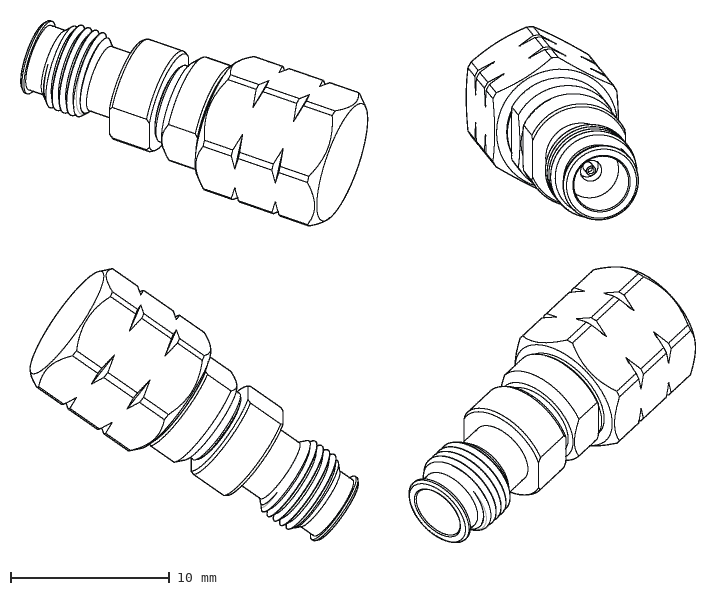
import cadquery as cq
import math

total_length = 21.2

barrel_radius = 2.15
flange_radius = 2.42
flange_length = 0.3
flange_chamfer = 0.16
bore_radius = 1.77
bore_depth = 3.0
bore_chamfer = 0.08
air_gap_radius = 0.68
air_gap_depth = 1.0
pin_radius = 0.3
pin_hole_radius = 0.19
pin_hole_depth = 0.5

thread_start = 1.37
thread_end = 4.5
thread_pitch = 0.5
thread_crest_radius = 2.8
thread_root_radius = 2.38
thread_root_start = 1.29
groove_width_ratio = 0.96
groove_overshoot = 0.008

flat_distance = 3.0
collar_start = 6.46
collar_end = 9.23
collar_radius = 3.35
collar_chamfer_length = 0.2
collar_chamfer_depth = 0.13
ring_start = 9.33
ring_radius = 2.55
ring_chamfer = 0.15
wrench_start = 10.03
wrench_end = 12.54
wrench_radius = 3.46
wrench_front_chamfer = 0.52
wrench_rear_chamfer = 0.14
neck_radius = 3.25

nut_start = 12.79
nut_sides = 6
nut_apothem = 4.0
nut_corner_radius = 4.5
nut_chamfer = 0.6
notch_positions = (15.58, 18.38)
notch_floor = 3.92
notch_half_width = 0.24
nut_hexagon_radius = nut_apothem / math.cos(math.pi / nut_sides)


def cylinder(start, end, radius):
    return cq.Workplane("YZ", origin=(start, 0, 0)).circle(radius).extrude(end - start)


def turned(points):
    """Solid of revolution about X from (x, radius) points, closed along the axis."""
    outline = [(points[0][0], 0)] + points + [(points[-1][0], 0)]
    return cq.Workplane("XY").polyline(outline).close().revolve(360, (0, 0, 0), (1, 0, 0))


def flatted(body, start, end, radius):
    """Limit a turned body to the space between the two flats."""
    slab = cq.Workplane("XY").box(end - start, 2 * flat_distance, 2 * radius, centered=(False, True, True))
    return body.intersect(slab.translate((start, 0, 0)))


def make_flange():
    return turned([
        (0, flange_radius - flange_chamfer),
        (flange_chamfer, flange_radius),
        (flange_length, flange_radius),
    ])


def make_thread():
    """Sleeve with 45-degree ends and a right-hand helical V groove."""
    rise = thread_crest_radius - barrel_radius
    sleeve = turned([
        (thread_start, barrel_radius),
        (thread_start + rise, thread_crest_radius),
        (thread_end - rise, thread_crest_radius),
        (thread_end, barrel_radius),
    ])
    helix_length = thread_end - thread_root_start
    helix = cq.Wire.makeHelix(thread_pitch, helix_length, thread_root_radius)
    cutter_radius = thread_crest_radius + groove_overshoot
    half_width = thread_pitch * groove_width_ratio / 2
    groove = (
        cq.Workplane("XZ")
        .polyline([
            (thread_root_radius, 0),
            (cutter_radius, half_width),
            (cutter_radius, -half_width),
        ])
        .close()
        .sweep(cq.Workplane(helix), isFrenet=True)
        .rotate((0, 0, 0), (0, 1, 0), 90)
        .translate((thread_root_start, 0, 0))
    )
    grooved_blank = cylinder(thread_start, thread_end, thread_crest_radius).cut(groove)
    return grooved_blank.intersect(sleeve)


def make_collar():
    end_radius = collar_radius - collar_chamfer_depth
    body = turned([
        (collar_start, end_radius),
        (collar_start + collar_chamfer_length, collar_radius),
        (collar_end - collar_chamfer_length, collar_radius),
        (collar_end, end_radius),
    ])
    return flatted(body, collar_start, collar_end, collar_radius)


def make_ring():
    return turned([
        (ring_start, ring_radius - ring_chamfer),
        (ring_start + ring_chamfer, ring_radius),
        (wrench_start, ring_radius),
    ])


def make_wrench_section():
    body = turned([
        (wrench_start, wrench_radius - wrench_front_chamfer),
        (wrench_start + wrench_front_chamfer, wrench_radius),
        (wrench_end - wrench_rear_chamfer, wrench_radius),
        (wrench_end, wrench_radius - wrench_rear_chamfer),
    ])
    return flatted(body, wrench_start, wrench_end, wrench_radius)


def make_corner_notch(position, angle):
    """Straight V cutter across the +Z corner, turned about X to another corner."""
    flank_slope = notch_half_width / (nut_corner_radius - notch_floor)
    half_width = (nut_hexagon_radius - notch_floor) * flank_slope
    return (
        cq.Workplane("XZ")
        .polyline([
            (position, notch_floor),
            (position + half_width, nut_hexagon_radius),
            (position - half_width, nut_hexagon_radius),
        ])
        .close()
        .extrude(nut_apothem, both=True)
        .rotate((0, 0, 0), (1, 0, 0), angle)
    )


def make_nut():
    """Hexagon with corners on +Z and -Z, rounded corners, chamfered ends and corner notches."""
    hexagon = (
        cq.Workplane("YZ", origin=(nut_start, 0, 0))
        .transformed(rotate=(0, 0, 90))
        .polygon(nut_sides, 2 * nut_hexagon_radius)
        .extrude(total_length - nut_start)
    )
    end_radius = nut_corner_radius - nut_chamfer
    envelope = turned([
        (nut_start, end_radius),
        (nut_start + nut_chamfer, nut_corner_radius),
        (total_length - nut_chamfer, nut_corner_radius),
        (total_length, end_radius),
    ])
    nut = hexagon.intersect(envelope)
    for position in notch_positions:
        for corner in range(nut_sides):
            nut = nut.cut(make_corner_notch(position, corner * 360 / nut_sides))
    return nut


def cut_socket(body):
    """Blind bore with an annular air gap around a flush, hollow centre pin."""
    socket = turned([
        (0, bore_radius + bore_chamfer),
        (bore_chamfer, bore_radius),
        (bore_depth, bore_radius),
    ])
    air_gap = cylinder(bore_depth, bore_depth + air_gap_depth, air_gap_radius)
    pin = cylinder(bore_depth, bore_depth + air_gap_depth, pin_radius)
    pin_hole = cylinder(bore_depth, bore_depth + pin_hole_depth, pin_hole_radius)
    return body.cut(socket).cut(air_gap.cut(pin)).cut(pin_hole)


body = cylinder(0, wrench_start, barrel_radius)
body = body.union(make_flange())
body = body.union(make_thread())
body = body.union(make_collar())
body = body.union(make_ring())
body = body.union(make_wrench_section())
body = body.union(cylinder(wrench_end, nut_start, neck_radius))
body = body.union(make_nut())
result = cut_socket(body)